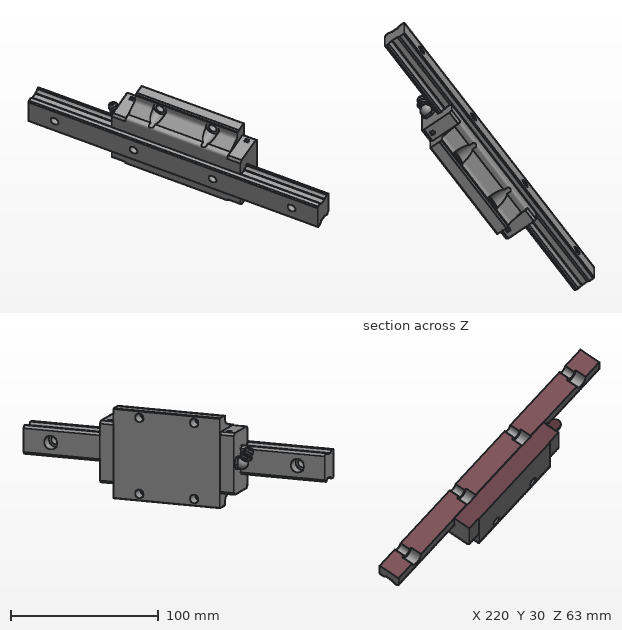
import cadquery as cq
import math


RAIL_LENGTH = 220.0
RAIL_HEIGHT = 16.5
RAIL_WIDTH = 20.0
RAIL_HALF_WIDTH = RAIL_WIDTH / 2
RAIL_NECK_WIDTH = 16.5
RAIL_NECK_HALF_WIDTH = RAIL_NECK_WIDTH / 2
RAIL_FOOT_CHAMFER = 0.9
RAIL_FOOT_TOP = 4.0
RAIL_NECK_BOTTOM = 6.0
RAIL_NECK_TOP = 10.1
RAIL_GROOVE_HALF_WIDTH = 8.5
RAIL_GROOVE_BOTTOM = 10.5
RAIL_HEAD_BOTTOM = 13.2
RAIL_HEAD_CHAMFER = 1.8
RAIL_HOLE_COUNT = 4
RAIL_HOLE_PITCH = 60.0
RAIL_HOLE_DIAMETER = 6.0
RAIL_BORE_DIAMETER = 9.5
RAIL_BORE_DEPTH = 8.5

TOTAL_HEIGHT = 30.0
BLOCK_LENGTH = 77.7
BLOCK_BOTTOM = 4.6
BLOCK_HALF_WIDTH = 22.0
BLOCK_EDGE_RADIUS = 1.8
FLANGE_HALF_WIDTH = 31.5
FLANGE_BOTTOM = 20.0
FLANGE_TOP_CHAMFER = 0.55
FLANGE_EDGE_STEP = 0.2
FLANGE_EDGE_BAND = 2.2
FLANGE_EDGE_CHAMFER = 0.5
SLOPE_BOTTOM = 10.0
SLOPE_LIP = 0.33
SLOPE_LIP_HEIGHT = 0.5
SLOPE_CORNER_HALF_WIDTH = 26.2
SLOPE_FILLET = 3.0
MOUNT_SPACING_X = 40.0
MOUNT_SPACING_Z = 53.0
MOUNT_HOLE_DIAMETER = 6.0
MOUNT_SPOT_DIAMETER = 9.7
MOUNT_SPOT_LEVEL = 20.0

CARRIAGE_LENGTH = 98.0
CAP_HALF_WIDTH = 21.5
CAP_TOP = 29.5
CAP_CHAMFER = 1.8
CAP_POCKET_SIZE = 2.6
CAP_POCKET_DEPTH = 2.2
CAP_POCKET_LEVEL = 24.5
CAP_POCKET_INSET = 5.3

NIPPLE_LEVEL = 23.3
NIPPLE_TILT = 30.0
HEX_SIDES = 6
BASE_HEX_CORNERS = 9.5
BASE_HEX_THICKNESS = 1.65
ELBOW_RADIUS = 4.2
ELBOW_OFFSET = 3.5
COLLAR_FLATS = 7.5
COLLAR_START = 5.0
COLLAR_END = 7.0
NECK_RADIUS = 2.6
HEAD_START = 8.5
HEAD_RADIUS = 3.0
HEAD_SHOULDER = 10.5
TIP_RADIUS = 2.2
TIP_END = 11.9
TIP_HOLE_DIAMETER = 2.2
TIP_HOLE_DEPTH = 1.0


def section_plane(x):
    """Plane across the rail: its local x is the part's Z and its extrusions run toward -X."""
    return cq.Plane(origin=(x, 0, 0), xDir=(0, 0, 1), normal=(-1, 0, 0))


def bar(outline, length):
    """Mirror a half outline of (z, y) about the middle of the rail and extrude it."""
    return outline.mirrorY().extrude(length)


def rail_bar(length):
    """Solid bar with the rail profile, centred along X."""
    groove_depth = RAIL_HALF_WIDTH - RAIL_GROOVE_HALF_WIDTH
    groove_rise = RAIL_HEAD_BOTTOM - RAIL_GROOVE_BOTTOM
    groove_radius = (groove_depth**2 + groove_rise**2) / (2 * groove_depth)
    middle_rise = groove_rise / 2
    middle_depth = groove_radius - math.sqrt(groove_radius**2 - middle_rise**2)
    outline = (
        cq.Workplane(section_plane(length / 2))
        .moveTo(0, 0)
        .lineTo(RAIL_HALF_WIDTH - RAIL_FOOT_CHAMFER, 0)
        .lineTo(RAIL_HALF_WIDTH, RAIL_FOOT_CHAMFER)
        .lineTo(RAIL_HALF_WIDTH, RAIL_FOOT_TOP)
        .lineTo(RAIL_NECK_HALF_WIDTH, RAIL_NECK_BOTTOM)
        .lineTo(RAIL_NECK_HALF_WIDTH, RAIL_NECK_TOP)
        .lineTo(RAIL_GROOVE_HALF_WIDTH, RAIL_GROOVE_BOTTOM)
        .threePointArc(
            (RAIL_GROOVE_HALF_WIDTH + middle_depth, RAIL_GROOVE_BOTTOM + middle_rise),
            (RAIL_HALF_WIDTH, RAIL_HEAD_BOTTOM),
        )
        .lineTo(RAIL_HALF_WIDTH, RAIL_HEIGHT - RAIL_HEAD_CHAMFER)
        .lineTo(RAIL_HALF_WIDTH - RAIL_HEAD_CHAMFER, RAIL_HEIGHT)
        .lineTo(0, RAIL_HEIGHT)
    )
    return bar(outline, length)


def cylinders(points, diameter, bottom, top):
    """Cylinders along Y at the (x, z) points, from one level to another."""
    plane = cq.Plane(origin=(0, bottom, 0), xDir=(0, 0, 1), normal=(0, 1, 0))
    spots = [(z, x) for x, z in points]
    return cq.Workplane(plane).pushPoints(spots).circle(diameter / 2).extrude(top - bottom)


def make_rail():
    first_hole = -RAIL_HOLE_PITCH * (RAIL_HOLE_COUNT - 1) / 2
    holes = [(first_hole + i * RAIL_HOLE_PITCH, 0) for i in range(RAIL_HOLE_COUNT)]
    rail = rail_bar(RAIL_LENGTH)
    rail = rail.cut(cylinders(holes, RAIL_HOLE_DIAMETER, 0, RAIL_HEIGHT))
    return rail.cut(cylinders(holes, RAIL_BORE_DIAMETER, RAIL_HEIGHT - RAIL_BORE_DEPTH, RAIL_HEIGHT))


def make_block():
    stepped_half_width = FLANGE_HALF_WIDTH - FLANGE_EDGE_STEP
    outline = (
        cq.Workplane(section_plane(BLOCK_LENGTH / 2))
        .moveTo(0, BLOCK_BOTTOM)
        .lineTo(BLOCK_HALF_WIDTH - BLOCK_EDGE_RADIUS, BLOCK_BOTTOM)
        .radiusArc((BLOCK_HALF_WIDTH, BLOCK_BOTTOM + BLOCK_EDGE_RADIUS), -BLOCK_EDGE_RADIUS)
        .lineTo(BLOCK_HALF_WIDTH, SLOPE_BOTTOM - SLOPE_LIP_HEIGHT)
        .lineTo(BLOCK_HALF_WIDTH + SLOPE_LIP, SLOPE_BOTTOM)
        .lineTo(SLOPE_CORNER_HALF_WIDTH, FLANGE_BOTTOM)
        .lineTo(stepped_half_width - FLANGE_EDGE_CHAMFER, FLANGE_BOTTOM)
        .lineTo(stepped_half_width, FLANGE_BOTTOM + FLANGE_EDGE_CHAMFER)
        .lineTo(stepped_half_width, FLANGE_BOTTOM + FLANGE_EDGE_BAND)
        .lineTo(FLANGE_HALF_WIDTH, FLANGE_BOTTOM + FLANGE_EDGE_BAND)
        .lineTo(FLANGE_HALF_WIDTH, TOTAL_HEIGHT - FLANGE_TOP_CHAMFER)
        .lineTo(FLANGE_HALF_WIDTH - FLANGE_TOP_CHAMFER, TOTAL_HEIGHT)
        .lineTo(0, TOTAL_HEIGHT)
    )
    block = bar(outline, BLOCK_LENGTH)
    for side in (-1, 1):
        corner = (0, FLANGE_BOTTOM, side * SLOPE_CORNER_HALF_WIDTH)
        block = block.edges(cq.selectors.NearestToPointSelector(corner)).fillet(SLOPE_FILLET)
    mounts = [(x * MOUNT_SPACING_X / 2, z * MOUNT_SPACING_Z / 2) for x in (-1, 1) for z in (-1, 1)]
    block = block.cut(cylinders(mounts, MOUNT_SPOT_DIAMETER, BLOCK_BOTTOM, MOUNT_SPOT_LEVEL))
    return block.cut(cylinders(mounts, MOUNT_HOLE_DIAMETER, BLOCK_BOTTOM, TOTAL_HEIGHT))


def make_caps():
    """One bar as long as the carriage: its ends are the caps, its middle is inside the block."""
    outline = (
        cq.Workplane(section_plane(CARRIAGE_LENGTH / 2))
        .moveTo(0, BLOCK_BOTTOM)
        .lineTo(CAP_HALF_WIDTH - CAP_CHAMFER, BLOCK_BOTTOM)
        .lineTo(CAP_HALF_WIDTH, BLOCK_BOTTOM + CAP_CHAMFER)
        .lineTo(CAP_HALF_WIDTH, CAP_TOP - CAP_CHAMFER)
        .lineTo(CAP_HALF_WIDTH - CAP_CHAMFER, CAP_TOP)
        .lineTo(0, CAP_TOP)
    )
    caps = bar(outline, CARRIAGE_LENGTH)
    pocket_x = CARRIAGE_LENGTH / 2 - CAP_POCKET_INSET
    pocket = cq.Workplane("XY").box(CAP_POCKET_SIZE, CAP_POCKET_SIZE, 2 * CAP_POCKET_DEPTH)
    for side_x in (-1, 1):
        for side_z in (-1, 1):
            center = (side_x * pocket_x, CAP_POCKET_LEVEL, side_z * CAP_HALF_WIDTH)
            caps = caps.cut(pocket.translate(center))
    return caps


def make_carriage():
    return make_block().union(make_caps()).cut(rail_bar(RAIL_LENGTH))


def make_nipple():
    cap_face = -CARRIAGE_LENGTH / 2
    base_plane = cq.Plane(origin=(cap_face, NIPPLE_LEVEL, 0), xDir=(0, 1, 0), normal=(-1, 0, 0))
    base = cq.Workplane(base_plane).polygon(HEX_SIDES, BASE_HEX_CORNERS).extrude(BASE_HEX_THICKNESS)

    elbow_x = cap_face - ELBOW_OFFSET
    elbow = cq.Workplane("XY").sphere(ELBOW_RADIUS).translate((elbow_x, NIPPLE_LEVEL, 0))
    outside = cq.Workplane(base_plane).circle(ELBOW_RADIUS).extrude(ELBOW_OFFSET + ELBOW_RADIUS)
    elbow = elbow.intersect(outside)

    tilt = math.radians(NIPPLE_TILT)
    axis = (-math.sin(tilt), 0, math.cos(tilt))
    tilted = cq.Plane(
        origin=(elbow_x, NIPPLE_LEVEL, 0), xDir=(math.cos(tilt), 0, math.sin(tilt)), normal=axis
    )
    collar_corners = COLLAR_FLATS / math.cos(math.pi / HEX_SIDES)
    collar = (
        cq.Workplane(tilted)
        .workplane(offset=COLLAR_START)
        .polygon(HEX_SIDES, collar_corners)
        .extrude(COLLAR_END - COLLAR_START)
    )
    spout_plane = cq.Plane(origin=tilted.origin, xDir=tilted.xDir, normal=(0, -1, 0))
    spout = (
        cq.Workplane(spout_plane)
        .polyline(
            [
                (0, 0),
                (NECK_RADIUS, 0),
                (NECK_RADIUS, HEAD_START),
                (HEAD_RADIUS, HEAD_START),
                (HEAD_RADIUS, HEAD_SHOULDER),
                (TIP_RADIUS, TIP_END),
                (0, TIP_END),
            ]
        )
        .close()
        .revolve(360, (0, 0), (0, 1))
    )
    hole = (
        cq.Workplane(tilted)
        .workplane(offset=TIP_END - TIP_HOLE_DEPTH)
        .circle(TIP_HOLE_DIAMETER / 2)
        .extrude(TIP_HOLE_DEPTH)
    )
    return base.union(elbow).union(collar).union(spout).cut(hole)


rail = make_rail()
carriage = make_carriage()
nipple = make_nipple()

result = cq.Compound.makeCompound([rail.val(), carriage.val(), nipple.val()])